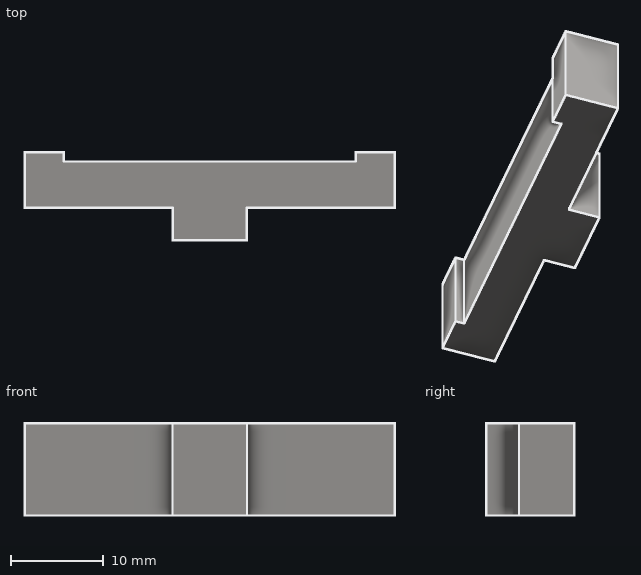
import cadquery as cq

length = 40.0
height = 10.0
bar_depth = 6.0

block_width = 8.0
block_depth = 3.5

pad_width = 4.25
recess_depth = 1.0
recess_width = length - 2 * pad_width


def full_height_box(width, depth, front_y):
    """Box centred on X, rising from Z = 0 and running back from front_y."""
    return (
        cq.Workplane("XY")
        .box(width, depth, height, centered=(True, False, False))
        .translate((0, front_y, 0))
    )


bar = full_height_box(length, bar_depth, 0)
block = full_height_box(block_width, block_depth, -block_depth)
recess = full_height_box(recess_width, recess_depth, bar_depth - recess_depth)

result = bar.union(block).cut(recess)